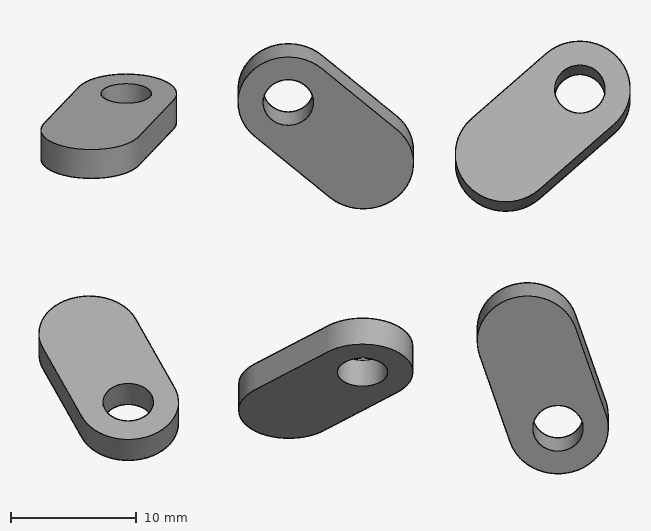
import cadquery as cq

length = 16.0
width = 8.0
thickness = 2.5
hole_diameter = 4.0

end_center_y = (length - width) / 2

plate = cq.Workplane("XY").slot2D(length, width, angle=90).extrude(thickness)

hole = cq.Workplane("XY").center(0, end_center_y).circle(hole_diameter / 2).extrude(thickness)

result = plate.cut(hole)